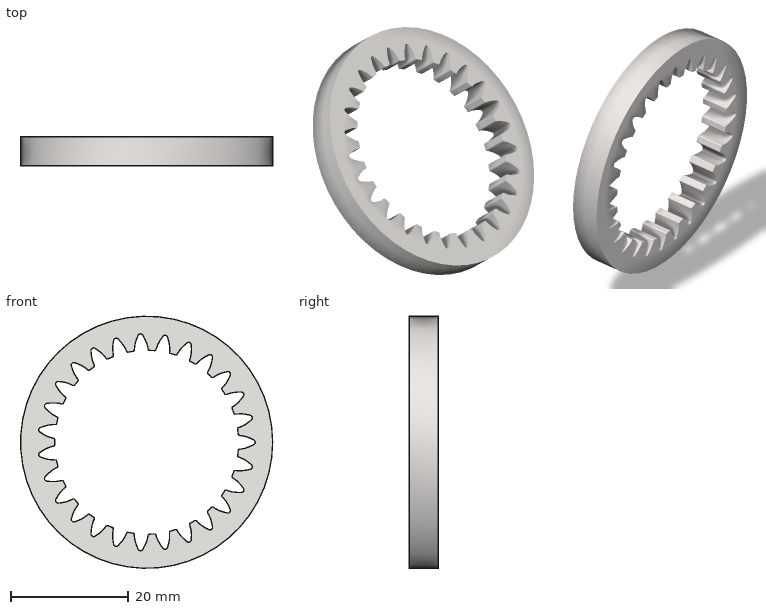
import cadquery as cq
import math

OUTER_DIAMETER = 43.0
WIDTH = 5.0
BACK_CENTER = (0, WIDTH / 2, 0)

TEETH = 27
PITCH_DIAMETER = 33.75
PRESSURE_ANGLE = math.radians(20)
TIP_RADIUS = 15.65
ROOT_RADIUS = 18.5
GAP_FRACTION = 0.5
TIP_ROUND = 0.25
FLANK_OUTER_RADIUS = 18.28
FLANK_POINTS = 8

PITCH_RADIUS = PITCH_DIAMETER / 2
BASE_RADIUS = PITCH_RADIUS * math.cos(PRESSURE_ANGLE)
TOOTH_STEP = 2 * math.pi / TEETH


def involute(angle):
    return math.tan(angle) - angle


def gap_half_angle(radius):
    """Half of the angle spanned by one tooth gap at the given radius."""
    at_pitch = TOOTH_STEP * GAP_FRACTION / 2
    slope = math.acos(BASE_RADIUS / max(radius, BASE_RADIUS))
    return at_pitch + involute(PRESSURE_ANGLE) - involute(slope)


def polar(radius, angle):
    return (radius * math.cos(angle), radius * math.sin(angle))


def add_gap(outline, center):
    """Trace one gap counterclockwise: flank out, gap bottom, flank back, next tooth tip."""
    flank_step = (FLANK_OUTER_RADIUS - BASE_RADIUS) / (FLANK_POINTS - 1)
    radii = [BASE_RADIUS + i * flank_step for i in range(FLANK_POINTS)]
    rising = [polar(r, center - gap_half_angle(r)) for r in radii]
    falling = [polar(r, center + gap_half_angle(r)) for r in reversed(radii)]
    tip_half_angle = gap_half_angle(TIP_RADIUS)
    next_center = center + TOOTH_STEP

    outline = outline.lineTo(*rising[0])
    outline = outline.spline(rising[1:], includeCurrent=True)
    outline = outline.threePointArc(polar(ROOT_RADIUS, center), falling[0])
    outline = outline.spline(falling[1:], includeCurrent=True)
    outline = outline.lineTo(*polar(TIP_RADIUS, center + tip_half_angle))
    return outline.threePointArc(
        polar(TIP_RADIUS, center + TOOTH_STEP / 2),
        polar(TIP_RADIUS, next_center - tip_half_angle),
    )


def corner_edges(solid, radius):
    """Edges along Y that lie at the given distance from the ring axis."""
    tolerance = 0.005
    edges = solid.edges("|Y").vals()
    return [e for e in edges if abs(math.hypot(e.Center().x, e.Center().z) - radius) < tolerance]


def toothed_bore():
    start = polar(TIP_RADIUS, -gap_half_angle(TIP_RADIUS))
    outline = cq.Workplane("XZ", origin=BACK_CENTER).moveTo(*start)
    for i in range(TEETH):
        outline = add_gap(outline, i * TOOTH_STEP)
    return outline.close().extrude(WIDTH)


def ring():
    blank = cq.Workplane("XZ", origin=BACK_CENTER).circle(OUTER_DIAMETER / 2).extrude(WIDTH)
    body = blank.cut(toothed_bore())
    return body.newObject(corner_edges(body, TIP_RADIUS)).fillet(TIP_ROUND)


result = ring()